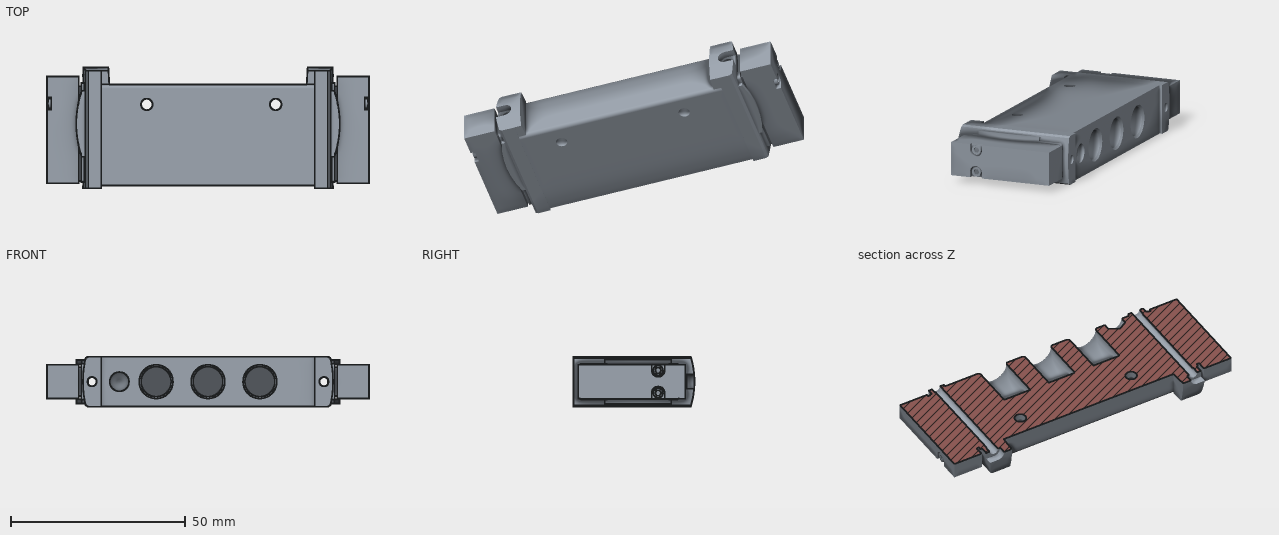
import cadquery as cq


overall_length = 92.6
overall_depth = 34.8
overall_height = 14.4

body_length = 61.3
body_front_y = 0.7
body_back_y = 29.8
body_height = 14.35
body_back_radius = 1.1

port_diameter = 8.6
port_chamfer = 0.6
port_spacing = 14.9
port_depth = 13.9
pilot_diameter = 5.6
pilot_x = -25.5
pilot_depth = 2.0
pilot_cone_depth = 1.7

mount_diameter = 3.2
mount_spacing = 37.0
mount_middle_x = 0.9
mount_y = 24.1

cap_inner_x = body_length / 2
cap_outer_x = 35.9
cap_face_edge_x = 35.2
cap_top_edge_x = 34.45
cap_chamfer_z = 0.5
cap_back_drop = 1.1
lug_root_x = 28.3
lug_tip_x = 28.6
cap_screw_x = 33.3
cap_screw_diameter = 2.6
cap_recess_diameter = 4.2
cap_recess_depth = 2.2

block_outer_x = overall_length / 2
block_inner_x = 37.1
block_front_y = 1.4
block_back_y = 32.1
block_height = 9.8

neck_front_y = 2.0
neck_back_y = 29.4
neck_height = 8.3
flange_outer_x = 36.5
flange_front_y = 1.8
flange_back_y = 30.3
flange_height = 10.4
flange_radius = 0.7

lip_outer_x = 37.9
lip_end_x = 36.3
lip_middle_y = 18.5
lip_width = 19.1
lip_inner_z = 5.0
lip_outer_z = 6.3

screw_y = 24.4
screw_z = 3.2
screw_recess_diameter = 3.7
screw_recess_depth = 1.3
screw_head_diameter = 2.8
screw_head_height = 1.0
screw_socket_size = 1.8
screw_socket_depth = 0.7


def box(x0, x1, y0, y1, height):
    """Box between the given X and Y limits, centred on Z = 0."""
    return cq.Workplane("XY").box(x1 - x0, y1 - y0, height).translate(((x0 + x1) / 2, (y0 + y1) / 2, 0))


def cylinder(diameter, length, start, direction):
    return cq.Workplane(cq.Solid.makeCylinder(diameter / 2, length, cq.Vector(*start), cq.Vector(*direction)))


def make_body():
    body = box(-body_length / 2, body_length / 2, body_front_y, body_back_y, body_height)
    body = body.edges("|X and >Y").fillet(body_back_radius)
    for side in (-1, 1):
        hole_start = (mount_middle_x + side * mount_spacing / 2, mount_y, -overall_height)
        body = body.cut(cylinder(mount_diameter, 2 * overall_height, hole_start, (0, 0, 1)))
    for index in (-1, 0, 1):
        body = body.cut(make_port(index * port_spacing))
    return body.cut(make_pilot_port())


def make_port(x):
    """Blind port with a chamfered mouth."""
    radius = port_diameter / 2
    start = cq.Vector(x, body_front_y, 0)
    inward = cq.Vector(0, 1, 0)
    mouth = cq.Solid.makeCone(radius + port_chamfer, radius, port_chamfer, start, inward)
    return cylinder(port_diameter, port_depth, start.toTuple(), inward.toTuple()).union(cq.Workplane(mouth))


def make_pilot_port():
    """Blind hole that ends in a drill-point cone."""
    start = (pilot_x, body_front_y, 0)
    cone_start = cq.Vector(pilot_x, body_front_y + pilot_depth, 0)
    cone = cq.Solid.makeCone(pilot_diameter / 2, 0, pilot_cone_depth, cone_start, cq.Vector(0, 1, 0))
    return cylinder(pilot_diameter, pilot_depth, start, (0, 1, 0)).union(cq.Workplane(cone))


def make_cap():
    """End cap for +X: bowed outer face, bowed back and a tapered lug behind the body, level with it."""
    half_height = overall_height / 2
    face_edge_z = half_height - cap_chamfer_z
    cap = (
        cq.Workplane("XZ")
        .moveTo(cap_inner_x, -half_height)
        .lineTo(cap_top_edge_x, -half_height)
        .lineTo(cap_face_edge_x, -face_edge_z)
        .threePointArc((cap_outer_x, 0), (cap_face_edge_x, face_edge_z))
        .lineTo(cap_top_edge_x, half_height)
        .lineTo(cap_inner_x, half_height)
        .close()
        .extrude(-overall_depth)
    )
    lug = (
        cq.Workplane("XY", origin=(0, 0, -body_height / 2))
        .moveTo(cap_inner_x, body_back_y)
        .lineTo(lug_root_x, body_back_y)
        .lineTo(lug_tip_x, overall_depth)
        .lineTo(cap_inner_x, overall_depth)
        .close()
        .extrude(body_height)
    )
    bowed_back = (
        cq.Workplane("YZ")
        .moveTo(0, -half_height)
        .lineTo(overall_depth - cap_back_drop, -half_height)
        .threePointArc((overall_depth, 0), (overall_depth - cap_back_drop, half_height))
        .lineTo(0, half_height)
        .close()
        .extrude(overall_length)
    )
    cap = cap.union(lug).intersect(bowed_back)
    cap = cap.cut(cylinder(cap_screw_diameter, overall_depth, (cap_screw_x, 0, 0), (0, 1, 0)))
    floor_y = overall_depth - cap_recess_depth
    cap = cap.cut(cylinder(cap_recess_diameter, cap_recess_depth, (cap_screw_x, floor_y, 0), (0, 1, 0)))
    return cap.cut(box(cap_screw_x, block_outer_x, floor_y, overall_depth, cap_recess_diameter))


def make_mount():
    """Neck, flange and bowed lips on the outer face of the +X cap."""
    neck = box(cap_top_edge_x, block_inner_x, neck_front_y, neck_back_y, neck_height)
    flange = box(cap_top_edge_x, flange_outer_x, flange_front_y, flange_back_y, flange_height)
    flange = flange.edges("|X").fillet(flange_radius)
    lip_front_y = lip_middle_y - lip_width / 2
    lip_back_y = lip_middle_y + lip_width / 2
    lip = (
        cq.Workplane("XY", origin=(0, 0, lip_inner_z))
        .moveTo(cap_top_edge_x, lip_front_y)
        .lineTo(lip_end_x, lip_front_y)
        .threePointArc((lip_outer_x, lip_middle_y), (lip_end_x, lip_back_y))
        .lineTo(cap_top_edge_x, lip_back_y)
        .close()
        .extrude(lip_outer_z - lip_inner_z)
    )
    return neck.union(flange).union(lip).union(lip.mirror("XY"))


def make_block():
    """Solenoid block at +X with two socket-head screws in recesses open to the top and bottom."""
    block = box(block_inner_x, block_outer_x, block_front_y, block_back_y, block_height)
    floor_x = block_outer_x - screw_recess_depth
    socket_x = floor_x + screw_head_height - screw_socket_depth
    for side in (-1, 1):
        recess = (
            cq.Workplane("YZ", origin=(floor_x, screw_y, side * screw_z))
            .circle(screw_recess_diameter / 2)
            .extrude(screw_recess_depth)
        )
        opening = (
            cq.Workplane("YZ", origin=(floor_x, screw_y, side * (screw_z + block_height / 2)))
            .rect(screw_recess_diameter, block_height)
            .extrude(screw_recess_depth)
        )
        head = cylinder(screw_head_diameter, screw_head_height, (floor_x, screw_y, side * screw_z), (1, 0, 0))
        socket = (
            cq.Workplane("YZ", origin=(socket_x, screw_y, side * screw_z))
            .polygon(6, screw_socket_size)
            .extrude(screw_socket_depth)
        )
        block = block.cut(recess).cut(opening).union(head.cut(socket))
    return block


end_unit = make_cap().union(make_mount()).union(make_block())
result = make_body().union(end_unit).union(end_unit.mirror("YZ"))